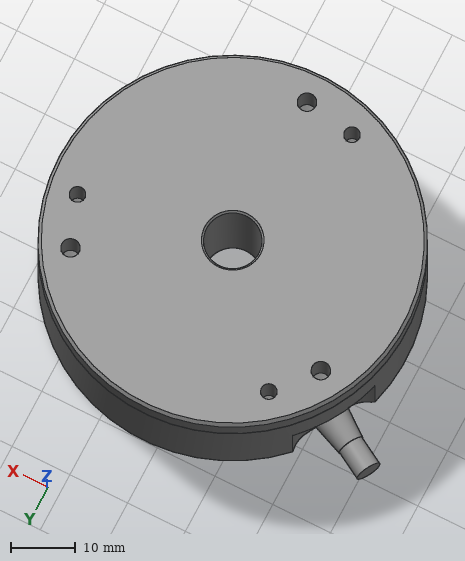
import cadquery as cq
import math

overall_length = 64.7

outer_diameter = 60.0
outer_radius = outer_diameter / 2
height = 18.5
cover_thickness = 3.75
edge_chamfer = 0.5

groove_width = 0.2
groove_floor_diameter = 59.0

bore_diameter = 9.0
bore_chamfer = 0.3

hole_circle_radius = 25.0
hole_depth = 6.0
drill_tip_angle = 118
hole_count = 3
hole_spacing = 360 / hole_count
screw_hole_diameter = 3.0
screw_hole_start = 30
pin_hole_diameter = 2.5
pin_hole_start = 10

cable_angle = 150
outlet_side_offset = 0.25
pocket_floor_radius = 27.5
pocket_flat_width = 7.75
pocket_corner_radius = 5.0
pocket_height = 8.9
cable_height = pocket_height / 2
sleeve_root_diameter = 6.15
sleeve_end_diameter = 4.4
sleeve_embed = 1.3
cable_diameter = 4.2
cable_radius = cable_diameter / 2
cable_length = 5.0

tip_reach = overall_length - outer_radius
tilt = math.radians(180 - cable_angle)
tip_corner_offset = cable_radius - outlet_side_offset
cable_end_radius = (tip_reach - tip_corner_offset * math.sin(tilt)) / math.cos(tilt)
sleeve_end_radius = cable_end_radius - cable_length


def make_housing():
    """Chamfered disc with the parting groove below the cover."""
    disc = cq.Workplane("XY").circle(outer_radius).extrude(height)
    disc = disc.faces("<Z or >Z").edges().chamfer(edge_chamfer)
    groove = (
        cq.Workplane("XY")
        .workplane(offset=height - cover_thickness - groove_width)
        .circle(outer_radius)
        .circle(groove_floor_diameter / 2)
        .extrude(groove_width)
    )
    return disc.cut(groove)


def make_bore():
    """Through bore with a chamfered mouth at the top face."""
    bore_radius = bore_diameter / 2
    mouth_radius = bore_radius + bore_chamfer
    return (
        cq.Workplane("XZ")
        .moveTo(0, 0)
        .lineTo(bore_radius, 0)
        .lineTo(bore_radius, height - bore_chamfer)
        .lineTo(mouth_radius, height)
        .lineTo(0, height)
        .close()
        .revolve(360, (0, 0), (0, 1))
    )


def make_blind_holes(diameter, start_angle):
    """Three equally spaced blind holes with conical drill tips."""
    radius = diameter / 2
    tip_length = radius / math.tan(math.radians(drill_tip_angle / 2))
    floor = height - hole_depth
    drill = (
        cq.Workplane("XZ")
        .moveTo(0, floor - tip_length)
        .lineTo(radius, floor)
        .lineTo(radius, height)
        .lineTo(0, height)
        .close()
        .revolve(360, (0, 0), (0, 1))
        .translate((hole_circle_radius, 0, 0))
    )
    holes = cq.Workplane("XY")
    for turn in range(hole_count):
        angle = start_angle + turn * hole_spacing
        holes = holes.add(drill.rotate((0, 0, 0), (0, 0, 1), angle))
    return holes.combine()


def make_pocket():
    """Rim pocket, open at the bottom, with a flat floor and large rounded corners."""
    width = pocket_flat_width + 2 * pocket_corner_radius
    pocket = (
        cq.Workplane("XY")
        .box(outer_diameter, width, pocket_height, centered=(False, True, False))
        .edges("|Z and <X")
        .fillet(pocket_corner_radius)
    )
    return pocket.translate((pocket_floor_radius, 0, 0))


def make_cable():
    """Tapered sleeve on the pocket floor with a straight cable stub."""
    sleeve_root_radius = sleeve_root_diameter / 2
    root = pocket_floor_radius - sleeve_embed
    return (
        cq.Workplane("XY")
        .moveTo(root, 0)
        .lineTo(root, sleeve_root_radius)
        .lineTo(pocket_floor_radius, sleeve_root_radius)
        .lineTo(sleeve_end_radius, sleeve_end_diameter / 2)
        .lineTo(sleeve_end_radius, cable_radius)
        .lineTo(cable_end_radius, cable_radius)
        .lineTo(cable_end_radius, 0)
        .close()
        .revolve(360, (0, 0), (1, 0))
        .translate((0, 0, cable_height))
    )


def at_cable_outlet(shape):
    """Turn a shape built along +X to the outlet direction, set slightly beside the radial line."""
    return shape.translate((0, -outlet_side_offset, 0)).rotate((0, 0, 0), (0, 0, 1), cable_angle)


result = (
    make_housing()
    .cut(make_bore())
    .cut(make_blind_holes(screw_hole_diameter, screw_hole_start))
    .cut(make_blind_holes(pin_hole_diameter, pin_hole_start))
    .cut(at_cable_outlet(make_pocket()))
    .union(at_cable_outlet(make_cable()))
)